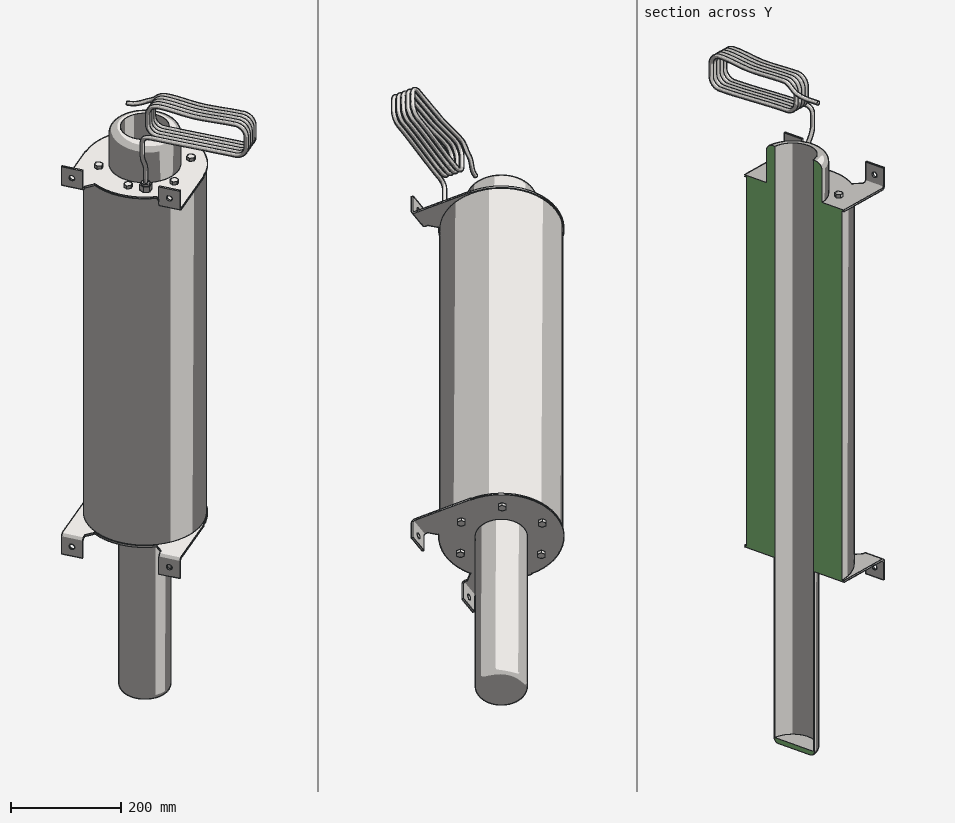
import cadquery as cq
import math

DRUM_DIA = 224.0
PLATE_DIA = 228.0
PLATE_THICKNESS = 4.0
PLATE_BOTTOM = 375.0
PLATE_TOP = 1132.0

TUBE_DIA = 95.0
BORE_DIA = 89.0
TUBE_FILLET = 10.0
BORE_FLOOR = 10.0
COLLAR_DIA = 131.0
COLLAR_TOP = 1212.0
COLLAR_FILLET = 16.0

EAR_SPAN = 230.0
EAR_FRONT = -123.0
EAR_WIDTH = 41.0
EAR_RISE = 44.0
EAR_BEND_RADIUS = 4.0
EAR_HOLE_DIA = 11.0
EAR_NECK_LENGTH = 12.0
EAR_NECK_RUN = 12.0

BOLT_COUNT = 6
BOLT_CIRCLE_RADIUS = 85.0
BOLT_ACROSS_CORNERS = 16.0
BOLT_HEIGHT = 7.0

GLAND_X = 33.0
GLAND_Y = -82.0
GLAND_NUT_CORNERS = 23.0
GLAND_NUT_HEIGHT = 12.0
GLAND_CAP_DIA = 16.0
GLAND_CAP_HEIGHT = 4.0

CABLE_DIA = 8.0
COIL_LEFT = 36.0
COIL_RIGHT = 237.0
COIL_TOP = 1325.0
COIL_HEIGHT = 72.0
COIL_RIGHT_DROP = 3.0
COIL_TOP_SAG = 4.0
COIL_CORNER_RADIUS = 21.0
COIL_FRONT_Y = -100.0
COIL_PITCH = 10.0
COIL_TURNS = 4

LEAD_STEP_START_Z = 1172.0
LEAD_STEP_END_Z = 1220.0
LEAD_TOP_Z = 1243.0
LEAD_BEND_RUN = 19.0

TAIL_KNEE_X = 32.0
TAIL_KNEE_Z = 1306.0
TAIL_KNEE_SLOPE = 0.4
TAIL_END_X = -12.0
TAIL_END_Y = -60.0
TAIL_END_Z = 1295.0

ear_outer_x = EAR_SPAN / 2
ear_inner_x = ear_outer_x - EAR_WIDTH
ear_middle_x = (ear_outer_x + ear_inner_x) / 2
gland_cap_bottom = PLATE_TOP + GLAND_NUT_HEIGHT
gland_top = gland_cap_bottom + GLAND_CAP_HEIGHT


def cylinder(dia, bottom, top):
    return cq.Workplane("XY").workplane(offset=bottom).circle(dia / 2).extrude(top - bottom)


def ear_web(side):
    """Flat part of an ear, reaching from the plate to the front edge; side is +1 for +X."""
    neck_y = EAR_FRONT + EAR_NECK_LENGTH
    return (
        cq.Workplane("XY")
        .moveTo(0, 0)
        .lineTo(side * ear_outer_x, 0)
        .lineTo(side * ear_outer_x, EAR_FRONT)
        .lineTo(side * ear_inner_x, EAR_FRONT)
        .lineTo(side * ear_inner_x, neck_y)
        .lineTo(side * (ear_inner_x - EAR_NECK_RUN), neck_y + EAR_NECK_RUN)
        .close()
        .extrude(PLATE_THICKNESS)
    )


def ear_flange(side):
    """Upright part of an ear with its screw hole, standing on Z = 0."""
    flange_back = EAR_FRONT + PLATE_THICKNESS
    plate = (
        cq.Workplane("XY")
        .box(EAR_WIDTH, PLATE_THICKNESS, EAR_RISE, centered=(True, False, False))
        .translate((0, EAR_FRONT, 0))
    )
    bend_fill = (
        cq.Workplane("YZ")
        .moveTo(flange_back, PLATE_THICKNESS)
        .lineTo(flange_back + EAR_BEND_RADIUS, PLATE_THICKNESS)
        .radiusArc((flange_back, PLATE_THICKNESS + EAR_BEND_RADIUS), EAR_BEND_RADIUS)
        .close()
        .extrude(EAR_WIDTH / 2, both=True)
    )
    hole = (
        cq.Workplane("XZ", origin=(0, EAR_FRONT, (EAR_RISE + PLATE_THICKNESS) / 2))
        .circle(EAR_HOLE_DIA / 2)
        .extrude(-PLATE_THICKNESS)
    )
    return plate.union(bend_fill).cut(hole).translate((side * ear_middle_x, 0, 0))


def end_plate():
    """Round plate on Z = 0 with two ears bent upwards at the front edge."""
    plate = cylinder(PLATE_DIA, 0, PLATE_THICKNESS)
    for side in (-1, 1):
        plate = plate.union(ear_web(side)).union(ear_flange(side))
    outer_corner = cq.selectors.BoxSelector(
        (-EAR_SPAN, EAR_FRONT - PLATE_THICKNESS / 2, -PLATE_THICKNESS / 2),
        (EAR_SPAN, EAR_FRONT + PLATE_THICKNESS / 2, PLATE_THICKNESS / 2),
    )
    return plate.edges("|X").edges(outer_corner).fillet(EAR_BEND_RADIUS + PLATE_THICKNESS)


def hexagon(center_x, center_y, bottom, across_corners, height):
    """Hexagonal prism with two of its corners pointing along Y."""
    return (
        cq.Workplane("XY")
        .polygon(6, across_corners)
        .extrude(height)
        .rotate((0, 0, 0), (0, 0, 1), 30)
        .translate((center_x, center_y, bottom))
    )


def bolt_heads(bottom):
    heads = []
    for i in range(BOLT_COUNT):
        angle = math.radians(90 + 360 * i / BOLT_COUNT)
        x = BOLT_CIRCLE_RADIUS * math.cos(angle)
        y = BOLT_CIRCLE_RADIUS * math.sin(angle)
        heads.append(hexagon(x, y, bottom, BOLT_ACROSS_CORNERS, BOLT_HEIGHT))
    return heads


def gland():
    nut = hexagon(GLAND_X, GLAND_Y, PLATE_TOP, GLAND_NUT_CORNERS, GLAND_NUT_HEIGHT)
    cap = cylinder(GLAND_CAP_DIA, gland_cap_bottom, gland_top).translate((GLAND_X, GLAND_Y, 0))
    return nut.union(cap)


def make_housing():
    collar = cylinder(COLLAR_DIA, PLATE_TOP, COLLAR_TOP).faces(">Z").edges().fillet(COLLAR_FILLET)
    tube = cylinder(TUBE_DIA, 0, PLATE_BOTTOM).faces("<Z").edges().fillet(TUBE_FILLET)
    housing = cylinder(DRUM_DIA, PLATE_BOTTOM, PLATE_TOP).union(collar).union(tube)
    top_plate = end_plate().translate((0, 0, PLATE_TOP - PLATE_THICKNESS))
    bottom_plate = end_plate().mirror("XY").translate((0, 0, PLATE_BOTTOM + PLATE_THICKNESS))
    housing = housing.union(top_plate).union(bottom_plate)
    for head in bolt_heads(PLATE_TOP) + bolt_heads(PLATE_BOTTOM - BOLT_HEIGHT):
        housing = housing.union(head)
    housing = housing.union(gland())
    return housing.cut(cylinder(BORE_DIA, BORE_FLOOR, COLLAR_TOP))


def bend(start, start_direction, end, end_direction):
    """Smooth curve that leaves and arrives in the given directions."""
    ends = [cq.Vector(*start), cq.Vector(*end)]
    return cq.Edge.makeSpline(ends, tangents=[cq.Vector(*start_direction), cq.Vector(*end_direction)])


def line(start, end):
    return cq.Edge.makeLine(cq.Vector(*start), cq.Vector(*end))


def coil_end(straight_x, y, start_z, end_z, outward):
    """Flat end of one turn: quarter arc, vertical line, quarter arc; outward is +1 for +X."""
    climb = math.copysign(1, end_z - start_z)
    radius = COIL_CORNER_RADIUS
    arc_reach = radius * math.sin(math.pi / 4)
    arc_rise = climb * (radius - arc_reach)
    tip_x = straight_x + outward * radius
    mid_x = straight_x + outward * arc_reach
    first_corner = [
        (straight_x, y, start_z),
        (mid_x, y, start_z + arc_rise),
        (tip_x, y, start_z + climb * radius),
    ]
    second_corner = [
        (tip_x, y, end_z - climb * radius),
        (mid_x, y, end_z - arc_rise),
        (straight_x, y, end_z),
    ]
    return [
        cq.Edge.makeThreePointArc(*[cq.Vector(*point) for point in first_corner]),
        line(first_corner[-1], second_corner[0]),
        cq.Edge.makeThreePointArc(*[cq.Vector(*point) for point in second_corner]),
    ]


def cable_path():
    along_x = (1, 0, 0)
    against_x = (-1, 0, 0)
    upward = (0, 0, 1)
    top_z = COIL_TOP - CABLE_DIA / 2
    bottom_z = COIL_TOP - COIL_HEIGHT + CABLE_DIA / 2
    right_bottom_z = bottom_z - COIL_RIGHT_DROP
    right_x = COIL_RIGHT - CABLE_DIA / 2 - COIL_CORNER_RADIUS
    left_x = COIL_LEFT + CABLE_DIA / 2 + COIL_CORNER_RADIUS

    gland_exit = (GLAND_X, GLAND_Y, gland_top)
    step_start = (GLAND_X, GLAND_Y, LEAD_STEP_START_Z)
    step_end = (GLAND_X, COIL_FRONT_Y, LEAD_STEP_END_Z)
    lead_top = (GLAND_X, COIL_FRONT_Y, LEAD_TOP_Z)
    run_start = (GLAND_X + LEAD_BEND_RUN, COIL_FRONT_Y, bottom_z)
    edges = [
        line(gland_exit, step_start),
        bend(step_start, upward, step_end, upward),
        line(step_end, lead_top),
        bend(lead_top, upward, run_start, along_x),
    ]

    for turn in range(COIL_TURNS + 1):
        right_y = COIL_FRONT_Y + COIL_PITCH * (turn + 0.5)
        left_y = right_y + COIL_PITCH / 2
        edges.append(bend(run_start, along_x, (right_x, right_y, right_bottom_z), along_x))
        edges += coil_end(right_x, right_y, right_bottom_z, top_z, 1)
        top_middle = ((left_x + right_x) / 2, (left_y + right_y) / 2, top_z - COIL_TOP_SAG)
        edges.append(bend((right_x, right_y, top_z), against_x, top_middle, against_x))
        if turn < COIL_TURNS:
            edges.append(bend(top_middle, against_x, (left_x, left_y, top_z), against_x))
            edges += coil_end(left_x, left_y, top_z, bottom_z, -1)
            run_start = (left_x, left_y, bottom_z)

    tail_start = (left_x, left_y, top_z)
    tail_knee = (TAIL_KNEE_X, left_y, TAIL_KNEE_Z)
    knee_direction = (-1, 0, -TAIL_KNEE_SLOPE)
    tail_end = (TAIL_END_X, TAIL_END_Y, TAIL_END_Z)
    edges.append(bend(top_middle, against_x, tail_start, against_x))
    edges.append(bend(tail_start, against_x, tail_knee, knee_direction))
    edges.append(bend(tail_knee, knee_direction, tail_end, against_x))
    return cq.Wire.assembleEdges(edges)


def make_cable():
    section = cq.Workplane("XY", origin=(GLAND_X, GLAND_Y, gland_top)).circle(CABLE_DIA / 2)
    return section.sweep(cq.Workplane(obj=cable_path()))


housing = make_housing()
cable = make_cable()
result = cq.Compound.makeCompound([housing.val(), cable.val()])